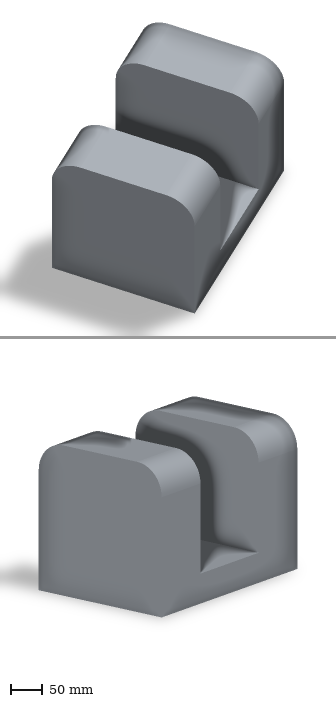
import cadquery as cq

width = 250.0
wall_thickness = 100.0
gap = 150.0
height = 250.0
base_thickness = 50.0
corner_radius = 50.0

depth = 2 * wall_thickness + gap


def make_block():
    """Full block, standing on Z = 0, with its two upper Y-direction edges rounded."""
    block = cq.Workplane("XY").box(width, depth, height, centered=(True, True, False))
    return block.edges("|Y and >Z").fillet(corner_radius)


def make_channel():
    """Volume between the walls, open at the top and at both X ends."""
    channel = cq.Workplane("XY").box(
        width, gap, height - base_thickness, centered=(True, True, False)
    )
    return channel.translate((0, 0, base_thickness))


result = make_block().cut(make_channel())